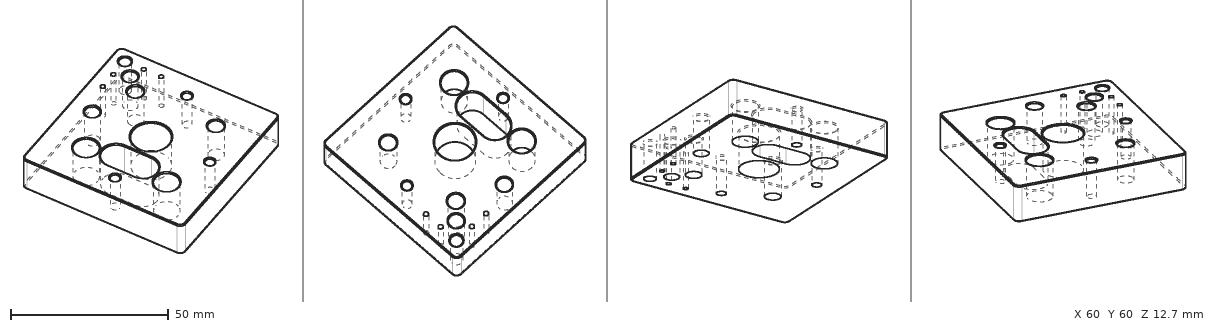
import cadquery as cq

side = 60.0
thickness = 12.7
corner_radius = 2.0
edge_chamfer = 0.39
top = thickness / 2
bottom = -top

rim_chamfer = 0.39

axis_offset = 21.9
bolt_offset = 15.0
corner_offset = 25.0
diagonal_offset = 20.05
pin_offsets = (18.0, 11.5)

center_diameter = 13.0
lower_bolt_diameter = 8.4
upper_bolt_diameter = 5.3
left_hole_diameter = 5.0
diagonal_diameter = 5.0
corner_diameter = 4.0
axis_diameter = 3.2
pin_diameter = 1.6

slot_length = 20.05
slot_width = 10.0
slot_center_y = -13.0


def make_block():
    """Square plate with rounded corners and chamfered top and bottom edges."""
    block = cq.Workplane("XY").box(side, side, thickness)
    block = block.edges("|Z").fillet(corner_radius)
    return block.faces("<Z or >Z").edges().chamfer(edge_chamfer)


def hole_cutter(x, y, diameter):
    """Through hole whose top rim opens at 45 degrees."""
    radius = diameter / 2
    profile = cq.Workplane("XZ").polyline([
        (0, bottom),
        (radius, bottom),
        (radius, top - rim_chamfer),
        (radius + rim_chamfer, top),
        (0, top),
    ])
    cutter = profile.close().revolve(360, (0, 0), (0, 1))
    return cutter.translate((x, y, 0))


def slot_cutter():
    """Through slot whose top rim opens at 45 degrees."""
    passage = cq.Workplane("XY", origin=(0, slot_center_y, bottom))
    passage = passage.slot2D(slot_length, slot_width).extrude(thickness)
    flare = cq.Workplane("XY", origin=(0, slot_center_y, top - rim_chamfer))
    flare = flare.slot2D(slot_length, slot_width).extrude(rim_chamfer, taper=-45)
    return passage.union(flare)


def pin_cutters():
    """Plain through holes in two rows that run along the edges from one corner."""
    points = []
    for offset in pin_offsets:
        points.append((-offset, corner_offset))
        points.append((-corner_offset, offset))
    pins = cq.Workplane("XY", origin=(0, 0, bottom)).pushPoints(points)
    return pins.circle(pin_diameter / 2).extrude(thickness)


rimmed_holes = [
    (0, 0, center_diameter),
    (-bolt_offset, -bolt_offset, lower_bolt_diameter),
    (bolt_offset, -bolt_offset, lower_bolt_diameter),
    (-bolt_offset, bolt_offset, upper_bolt_diameter),
    (bolt_offset, bolt_offset, upper_bolt_diameter),
    (-corner_offset, corner_offset, corner_diameter),
    (-diagonal_offset, diagonal_offset, diagonal_diameter),
    (-axis_offset, 0, left_hole_diameter),
    (axis_offset, 0, axis_diameter),
    (0, axis_offset, axis_diameter),
    (0, -axis_offset, axis_diameter),
]

result = make_block().cut(slot_cutter()).cut(pin_cutters())
for x, y, diameter in rimmed_holes:
    result = result.cut(hole_cutter(x, y, diameter))